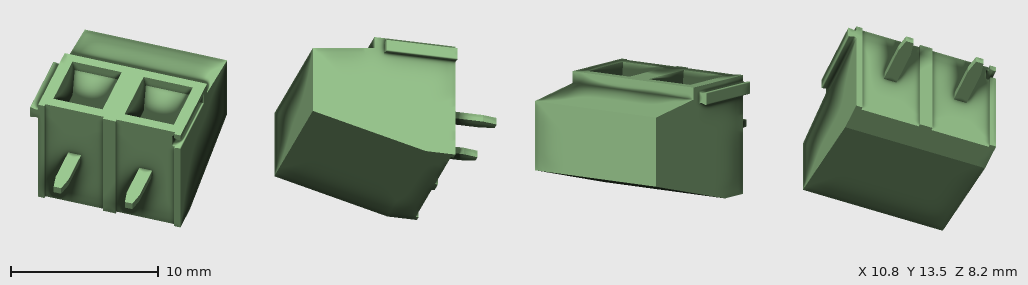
import cadquery as cq

POLES = 2
WIDTH = 10.17
PITCH = WIDTH / POLES
HEIGHT = 8.2
DEPTH = 10.0

HEAD_DEPTH = 5.68
SHOULDER_DROP = 0.82
BACK_TOP_DROP = 1.4
BACK_BOTTOM = 2.02
BASE_DEPTH = 2.08

RIB_WIDTH = 0.9
RECESS_DEPTH = 0.2

FUNNEL_WIDTH = 3.51
FUNNEL_FRONT = 0.92
FUNNEL_BACK = 5.01
FUNNEL_DEPTH = 1.92
FUNNEL_BACK_WALL = 0.72
FLOOR_WIDTH = 2.71
FLOOR_FRONT = 1.73
FLOOR_BACK = 3.82

PIN_WIDTH = 0.92
PIN_THICKNESS = 0.5
PIN_BOTTOM = 3.85
PIN_REACH = 3.5
PIN_TAPER = 1.0
PIN_TIP_WIDTH = 0.54

DOVETAIL_LENGTH = 5.01
DOVETAIL_Z = HEIGHT - 0.81
RAIL_REACH = 0.6
RAIL_TIP_HALF = 0.46
RAIL_NECK_HALF = 0.3
RAIL_TIP_RADIUS = 0.08
RAIL_NECK_RADIUS = 0.12
GROOVE_DEPTH = 0.68
GROOVE_TIP_HALF = 0.54
GROOVE_NECK_HALF = 0.36
GROOVE_LIP = 0.23
GROOVE_TIP_RADIUS = 0.14
GROOVE_LIP_RADIUS = 0.14
GROOVE_MOUTH_RADIUS = 0.08

OVERLAP = 0.14


def box(x, y, z, dx, dy, dz):
    return cq.Workplane("XY").box(dx, dy, dz, centered=False).translate((x, y, z))


def housing():
    outline = [
        (0, 0),
        (BASE_DEPTH, 0),
        (DEPTH, BACK_BOTTOM),
        (DEPTH, HEIGHT - BACK_TOP_DROP),
        (HEAD_DEPTH, HEIGHT - SHOULDER_DROP),
        (HEAD_DEPTH, HEIGHT),
        (0, HEIGHT),
    ]
    return cq.Workplane("YZ").polyline(outline).close().extrude(WIDTH)


def front_recess(center_x):
    width = PITCH - RIB_WIDTH
    return box(center_x - width / 2, 0, 0, width, RECESS_DEPTH, HEIGHT)


def funnel(center_x):
    """Profile in Y-Z trimmed by a trapezoid in X-Z, so all four walls taper."""
    floor_z = HEIGHT - FUNNEL_DEPTH
    side_profile = [
        (FUNNEL_FRONT, HEIGHT),
        (FLOOR_FRONT, floor_z),
        (FLOOR_BACK, floor_z),
        (FUNNEL_BACK, HEIGHT - FUNNEL_BACK_WALL),
        (FUNNEL_BACK, HEIGHT),
    ]
    front_profile = [
        (center_x - FUNNEL_WIDTH / 2, HEIGHT),
        (center_x - FLOOR_WIDTH / 2, floor_z),
        (center_x + FLOOR_WIDTH / 2, floor_z),
        (center_x + FUNNEL_WIDTH / 2, HEIGHT),
    ]
    along_x = cq.Workplane("YZ").polyline(side_profile).close().extrude(WIDTH)
    along_y = cq.Workplane("XZ").polyline(front_profile).close().extrude(-DEPTH)
    return along_x.intersect(along_y)


def pin(center_x):
    root_y = RECESS_DEPTH + OVERLAP
    taper_y = PIN_TAPER - PIN_REACH
    outline = [
        (center_x - PIN_WIDTH / 2, root_y),
        (center_x - PIN_WIDTH / 2, taper_y),
        (center_x - PIN_TIP_WIDTH / 2, -PIN_REACH),
        (center_x + PIN_TIP_WIDTH / 2, -PIN_REACH),
        (center_x + PIN_WIDTH / 2, taper_y),
        (center_x + PIN_WIDTH / 2, root_y),
    ]
    plane = cq.Workplane("XY").workplane(offset=PIN_BOTTOM)
    return plane.polyline(outline).close().extrude(PIN_THICKNESS)


def dovetail(upper_half):
    """Prism along Y, symmetric about the dovetail height."""
    upper = [(x, DOVETAIL_Z + half) for x, half in upper_half]
    lower = [(x, DOVETAIL_Z - half) for x, half in reversed(upper_half)]
    return cq.Workplane("XZ").polyline(upper + lower).close().extrude(-DOVETAIL_LENGTH)


def add_rail(body):
    rail = dovetail([(OVERLAP, RAIL_NECK_HALF), (0, RAIL_NECK_HALF), (-RAIL_REACH, RAIL_TIP_HALF)])
    rail = rail.edges("|Y and <X").fillet(RAIL_TIP_RADIUS)
    joined = body.union(rail)
    neck = cq.selectors.BoxSelector(
        (-RAIL_NECK_RADIUS, 0, DOVETAIL_Z - RAIL_TIP_HALF),
        (RAIL_NECK_RADIUS, DOVETAIL_LENGTH, DOVETAIL_Z + RAIL_TIP_HALF),
    )
    return joined.edges("|Y").edges(neck).fillet(RAIL_NECK_RADIUS)


def groove_cutter():
    cutter = dovetail([
        (WIDTH, GROOVE_NECK_HALF),
        (WIDTH - GROOVE_LIP, GROOVE_NECK_HALF),
        (WIDTH - GROOVE_DEPTH, GROOVE_TIP_HALF),
    ])
    cutter = cutter.edges("|Y and <X").fillet(GROOVE_TIP_RADIUS)
    lip = cq.selectors.BoxSelector(
        (WIDTH - GROOVE_LIP - GROOVE_LIP_RADIUS / 2, 0, DOVETAIL_Z - GROOVE_TIP_HALF),
        (WIDTH - GROOVE_LIP + GROOVE_LIP_RADIUS / 2, DOVETAIL_LENGTH, DOVETAIL_Z + GROOVE_TIP_HALF),
    )
    return cutter.edges("|Y").edges(lip).fillet(GROOVE_LIP_RADIUS)


def cut_groove(body):
    grooved = body.cut(groove_cutter())
    mouth = cq.selectors.BoxSelector(
        (WIDTH - GROOVE_MOUTH_RADIUS, 0, DOVETAIL_Z - GROOVE_TIP_HALF),
        (WIDTH + GROOVE_MOUTH_RADIUS, DOVETAIL_LENGTH, DOVETAIL_Z + GROOVE_TIP_HALF),
    )
    return grooved.edges("|Y").edges(mouth).fillet(GROOVE_MOUTH_RADIUS)


result = cut_groove(add_rail(housing()))
for pole in range(POLES):
    pole_x = (pole + 0.5) * PITCH
    result = result.cut(front_recess(pole_x)).cut(funnel(pole_x)).union(pin(pole_x))